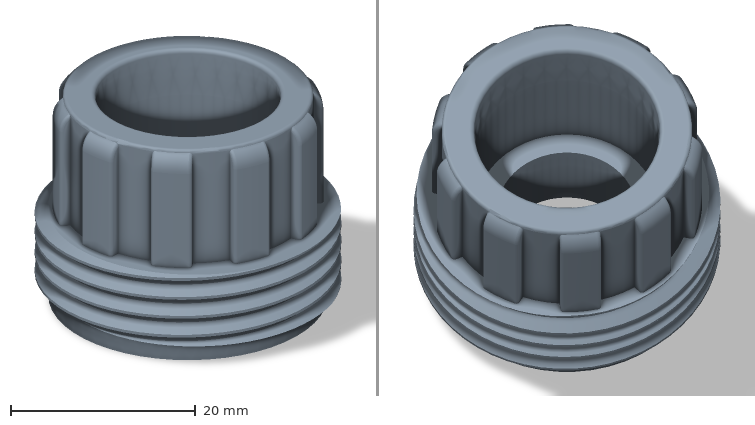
import cadquery as cq
import math


total_height = 24.8
thread_bottom = 2.0
collar_height = 11.0

thread_diameter = 33.25
core_diameter = 30.29
pitch = 25.4 / 11
flank_angle = 27.5
crest_flat = 0.33
crest_height_at_x = 1.8
root_overlap = 0.4

sleeve_diameter = 27.15
sleeve_edge_radius = 0.4
rib_count = 10
rib_diameter = 29.36
rib_width = 4.45
rib_corner_radius = 0.4
rib_crown_radius = 2.3
rib_embedding = 1.5
rib_root_radius = sleeve_diameter / 2 - rib_embedding
clearance = 0.1

through_diameter = 15.1
socket_diameter = 19.8
socket_depth = 16.0
mouth_diameter = 20.1
taper_depth = 5.4
mouth_edge_radius = 0.5


def make_body():
    collar = cq.Workplane("XY").circle(core_diameter / 2).extrude(collar_height)
    sleeve = cq.Workplane("XY").circle(sleeve_diameter / 2).extrude(total_height)
    sleeve = sleeve.faces(">Z").edges().fillet(sleeve_edge_radius)
    return collar.union(sleeve)


def make_thread():
    """Right-hand thread ridge, cut flat at both ends of the threaded length."""
    crest_radius = thread_diameter / 2
    inner_radius = core_diameter / 2 - root_overlap
    half_crest = crest_flat / 2
    half_base = half_crest + (crest_radius - inner_radius) * math.tan(math.radians(flank_angle))

    start = crest_height_at_x - pitch
    turns = math.ceil((collar_height - start) / pitch) + 1
    path = cq.Wire.makeHelix(pitch, turns * pitch, core_diameter / 2, cq.Vector(0, 0, start))
    ridge = (
        cq.Workplane("XZ")
        .moveTo(inner_radius, start - half_base)
        .lineTo(crest_radius, start - half_crest)
        .lineTo(crest_radius, start + half_crest)
        .lineTo(inner_radius, start + half_base)
        .close()
        .sweep(cq.Workplane(path), isFrenet=True)
    )
    threaded_length = (
        cq.Workplane("XY")
        .workplane(offset=thread_bottom)
        .circle(thread_diameter)
        .extrude(collar_height - thread_bottom)
    )
    return ridge.intersect(threaded_length)


def make_rib():
    """One rib on the +X side, with a rounded crown and rounded outer corners."""
    outer_radius = rib_diameter / 2
    crown_start = total_height - rib_crown_radius
    crown_centre = outer_radius - rib_crown_radius
    crown_diagonal = rib_crown_radius * math.sqrt(0.5)
    ring = (
        cq.Workplane("XZ")
        .moveTo(rib_root_radius, collar_height)
        .lineTo(outer_radius, collar_height)
        .lineTo(outer_radius, crown_start)
        .threePointArc(
            (crown_centre + crown_diagonal, crown_start + crown_diagonal),
            (crown_centre, total_height),
        )
        .lineTo(rib_root_radius, total_height)
        .close()
        .revolve(360, (0, 0, 0), (0, 1, 0))
    )
    slab = cq.Workplane("XY").box(
        outer_radius + clearance, rib_width, total_height, centered=(False, True, False)
    )
    rib = ring.intersect(slab)
    outer_edges = cq.selectors.BoxSelector(
        (crown_centre + clearance, -rib_width, collar_height + clearance),
        (outer_radius + clearance, rib_width, total_height),
    )
    side_edges = rib.faces("<Y or >Y").edges(outer_edges)
    return side_edges.fillet(rib_corner_radius)


def make_bore():
    """Through hole, socket, tapered lead-in and rounded mouth as one cutter."""
    through_radius = through_diameter / 2
    socket_radius = socket_diameter / 2
    mouth_radius = mouth_diameter / 2
    floor = total_height - socket_depth
    edge_centre = mouth_radius + mouth_edge_radius
    edge_bottom = total_height - mouth_edge_radius
    edge_diagonal = mouth_edge_radius * math.sqrt(0.5)
    return (
        cq.Workplane("XZ")
        .lineTo(through_radius, 0)
        .lineTo(through_radius, floor)
        .lineTo(socket_radius, floor)
        .lineTo(socket_radius, total_height - taper_depth)
        .lineTo(mouth_radius, edge_bottom)
        .threePointArc(
            (edge_centre - edge_diagonal, edge_bottom + edge_diagonal),
            (edge_centre, total_height),
        )
        .lineTo(0, total_height)
        .close()
        .revolve(360, (0, 0, 0), (0, 1, 0))
    )


result = make_body().union(make_thread())
rib = make_rib()
for index in range(rib_count):
    result = result.union(rib.rotate((0, 0, 0), (0, 0, 1), index * 360 / rib_count))
result = result.cut(make_bore())